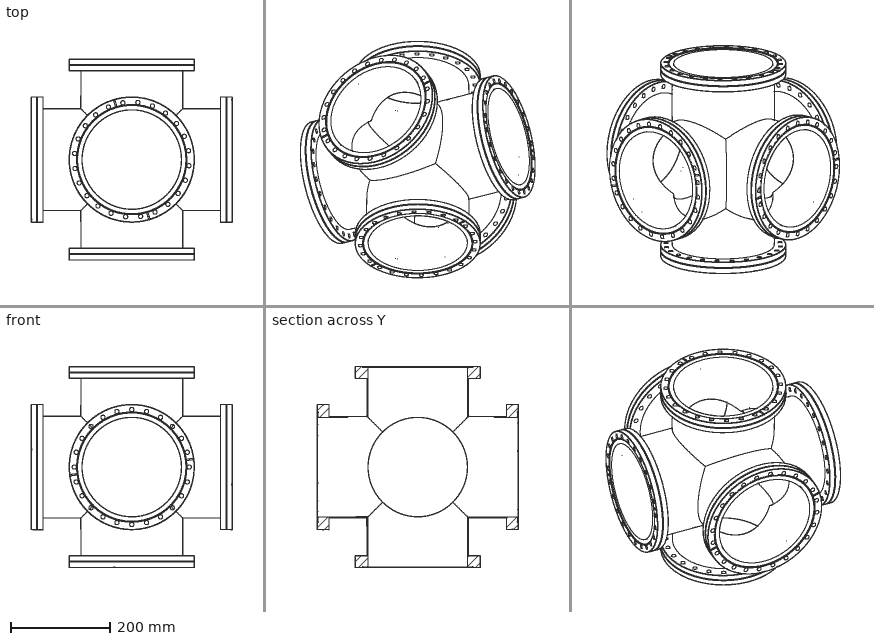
import cadquery as cq

overall_length = 406.0
tube_diameter = 206.0
bore_diameter = 200.0

flange_diameter = 253.0
flange_thickness = 24.5
edge_chamfer = 1.0

rim_groove_width = 2.0
rim_groove_depth = 0.5

recess_diameter = 222.5
recess_depth = 2.5
seal_edge_diameter = 218.5
seal_edge_depth = 1.2

bolt_count = 24
bolt_circle_diameter = 232.0
bolt_hole_diameter = 8.5
bolt_pitch_angle = 360.0 / bolt_count

leak_groove_width = 3.0
leak_groove_start_angle = bolt_pitch_angle / 2

rotated_flange_angle = 8.9

half_length = overall_length / 2
flange_radius = flange_diameter / 2


def tube_cross(diameter):
    """Three crossing round bars along X, Y and Z, each spanning the overall length."""
    bars = [
        cq.Workplane(plane).circle(diameter / 2).extrude(half_length, both=True)
        for plane in ("YZ", "XZ", "XY")
    ]
    return bars[0].union(bars[1]).union(bars[2])


def flange_blank():
    """Solid disc below its sealing face at z = 0, with chamfered rim and rim groove."""
    disc = (
        cq.Workplane("XY")
        .circle(flange_radius)
        .extrude(-flange_thickness)
        .edges()
        .chamfer(edge_chamfer)
    )
    rim_groove = (
        cq.Workplane("XY", origin=(0, 0, -(flange_thickness + rim_groove_width) / 2))
        .circle(flange_radius)
        .circle(flange_radius - rim_groove_depth)
        .extrude(rim_groove_width)
    )
    return disc.cut(rim_groove)


def gasket_recess():
    """Revolved cutter for the recess, the sealing cone and the sunken inner land."""
    return (
        cq.Workplane("XZ")
        .moveTo(0, 0)
        .lineTo(recess_diameter / 2, 0)
        .lineTo(recess_diameter / 2, -recess_depth)
        .lineTo(seal_edge_diameter / 2, -seal_edge_depth)
        .lineTo(0, -seal_edge_depth)
        .close()
        .revolve(360, (0, 0, 0), (0, 1, 0))
    )


def bolt_holes():
    return (
        cq.Workplane("XY")
        .polarArray(bolt_circle_diameter / 2, 0, 360, bolt_count)
        .circle(bolt_hole_diameter / 2)
        .extrude(-flange_thickness)
    )


def leak_grooves():
    """Two opposite round bars lying on the face, from the seal cone out past the rim."""
    inner_radius = (seal_edge_diameter + recess_diameter) / 4
    start_plane = cq.Plane(origin=(inner_radius, 0, 0), xDir=(0, 0, 1), normal=(1, 0, 0))
    bar = (
        cq.Workplane(start_plane)
        .circle(leak_groove_width / 2)
        .extrude(flange_radius)
        .rotate((0, 0, 0), (0, 0, 1), leak_groove_start_angle)
    )
    return bar.union(bar.rotate((0, 0, 0), (0, 0, 1), 180))


def make_flange():
    return flange_blank().cut(gasket_recess()).cut(bolt_holes()).cut(leak_grooves())


def place_flange(flange, outward, local_x, turn):
    """Turn a flange about its own axis and put its face at the end of a tube."""
    end_point = tuple(half_length * component for component in outward)
    end_plane = cq.Plane(origin=end_point, xDir=local_x, normal=outward)
    turned = flange.rotate((0, 0, 0), (0, 0, 1), turn)
    return cq.Workplane(turned.val().located(cq.Location(end_plane)))


flange_positions = [
    ((0, -1, 0), (1, 0, 0), 0),
    ((0, 1, 0), (-1, 0, 0), rotated_flange_angle),
    ((-1, 0, 0), (0, -1, 0), rotated_flange_angle),
    ((1, 0, 0), (0, -1, 0), rotated_flange_angle),
    ((0, 0, 1), (0, 1, 0), rotated_flange_angle),
    ((0, 0, -1), (0, 1, 0), rotated_flange_angle),
]

flange = make_flange()
flange_envelope = cq.Workplane("XY").circle(flange_radius).extrude(-flange_thickness)

result = tube_cross(tube_diameter)
for outward, local_x, turn in flange_positions:
    result = result.cut(place_flange(flange_envelope, outward, local_x, turn))
    result = result.union(place_flange(flange, outward, local_x, turn))
result = result.cut(tube_cross(bore_diameter))